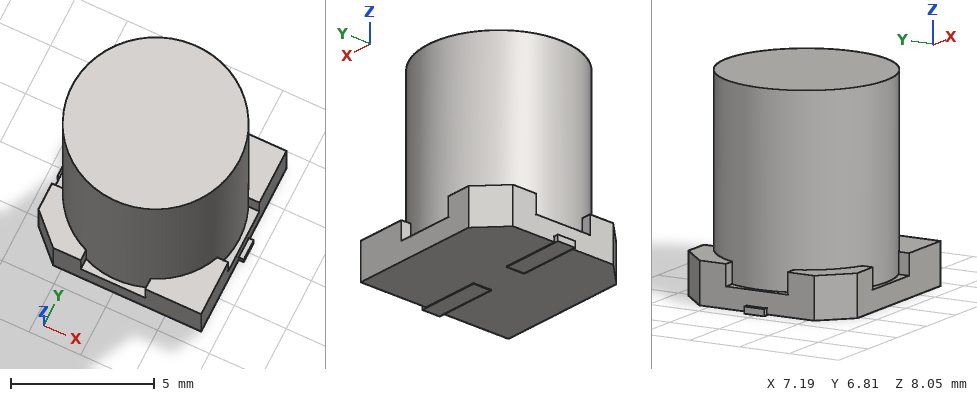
import cadquery as cq

total_height = 8.05
lead_span = 7.19

base_side = 6.81
base_bottom = 0.03
base_top = 1.64
corner_chamfer = 1.095
seat_height = 0.84
notch_width = 2.49

can_diameter = 6.465

lead_width = 0.805
lead_thickness = 0.26
lead_gap = 1.75
lead_length = (lead_span - lead_gap) / 2
lead_center = (lead_span + lead_gap) / 4


def make_can():
    """Plain cylinder standing on the seat of the base."""
    return (
        cq.Workplane("XY", origin=(0, 0, seat_height))
        .circle(can_diameter / 2)
        .extrude(total_height - seat_height)
    )


def make_lead(side):
    """Flat strip lead on the +X (side = 1) or -X (side = -1) side."""
    return (
        cq.Workplane("XY", origin=(side * lead_center, 0, 0))
        .rect(lead_length, lead_width)
        .extrude(lead_thickness)
    )


def make_base(can, leads):
    """Base plate with four corner posts around the can and recesses for the leads."""
    base = (
        cq.Workplane("XY", origin=(0, 0, base_bottom))
        .rect(base_side, base_side)
        .extrude(base_top - base_bottom)
        .edges("|Z and <X")
        .chamfer(corner_chamfer)
    )

    notch_depth = base_top - seat_height
    for length_x, length_y in ((base_side, notch_width), (notch_width, base_side)):
        channel = (
            cq.Workplane("XY", origin=(0, 0, seat_height))
            .rect(length_x, length_y)
            .extrude(notch_depth)
        )
        base = base.cut(channel)

    base = base.cut(can)
    for lead in leads:
        base = base.cut(lead)
    return base


can = make_can()
leads = [make_lead(side) for side in (-1, 1)]
base = make_base(can, leads)

result = cq.Compound.makeCompound([base.solids().val(), can.val(), *[lead.val() for lead in leads]])